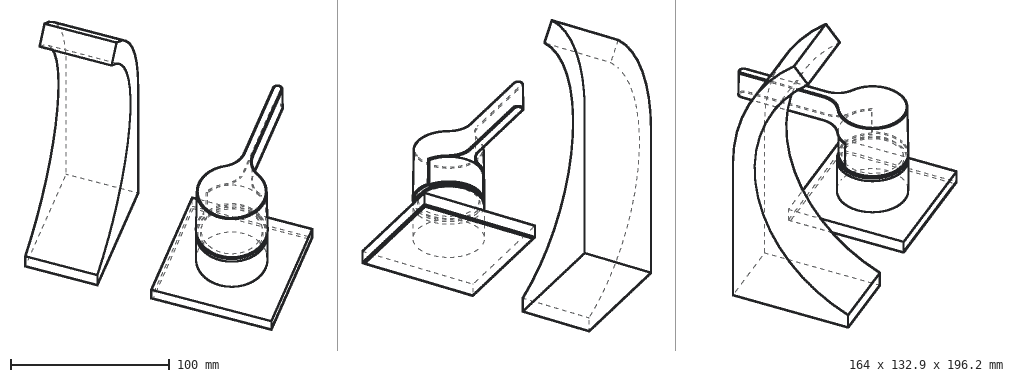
import cadquery as cq
import math

depth = 80.0
half_depth = depth / 2

spout_width = 48.0
spout_gap = 36.0
spout_height = 196.2
spout_thickness = 15.1
spout_inner_radius = 102.8
arc_centre_z = 105.5

plate_thickness = 9.5
plate_chamfer = 1.0

base_radius = 22.5
base_top = 35.3
base_chamfer = 1.2

neck_top_radius = 19.2
neck_bottom_radius = 19.8
head_bottom = 37.9
head_top = 76.0
head_radius = 22.8
handle_chamfer = 0.5
draft_angle = 1.0
lever_tip_y = 93.2
lever_half_width = 3.7
blend_radius = 15.1

lever_bottom = 56.7
undercut_start_y = 9.6
undercut_radius = 21.5


def make_spout():
    outer_radius = spout_inner_radius + spout_thickness
    centre_y = half_depth - outer_radius
    tip_angle = math.asin((spout_height - arc_centre_z) / outer_radius)
    foot_angle = -math.acos((-half_depth - centre_y) / spout_inner_radius)

    def on_arc(radius, angle):
        return (centre_y + radius * math.cos(angle), arc_centre_z + radius * math.sin(angle))

    return (
        cq.Workplane("YZ", origin=(-half_depth - spout_gap - spout_width, 0, 0))
        .moveTo(-half_depth, 0)
        .lineTo(half_depth, 0)
        .lineTo(half_depth, arc_centre_z)
        .threePointArc(on_arc(outer_radius, tip_angle / 2), on_arc(outer_radius, tip_angle))
        .lineTo(*on_arc(spout_inner_radius, tip_angle))
        .threePointArc(on_arc(spout_inner_radius, 0), on_arc(spout_inner_radius, foot_angle))
        .close()
        .extrude(spout_width)
    )


def make_plate():
    plate = cq.Workplane("XY").box(depth, depth, plate_thickness, centered=(True, True, False))
    return plate.faces("<Z").edges().chamfer(plate_chamfer)


def make_base():
    base = cq.Workplane("XY", origin=(0, 0, plate_thickness)).circle(base_radius)
    return base.extrude(base_top - plate_thickness).faces(">Z").edges().chamfer(base_chamfer)


def handle_outline():
    """Teardrop outline: round head, two concave blends and a round-ended lever."""
    blend_x = lever_half_width + blend_radius
    blend_y = math.sqrt((head_radius + blend_radius) ** 2 - blend_x ** 2)
    head_share = head_radius / (head_radius + blend_radius)
    join = (blend_x * head_share, blend_y * head_share)
    mid_angle = (math.atan2(-blend_y, -blend_x) - math.pi) / 2
    blend_mid = (
        blend_x + blend_radius * math.cos(mid_angle),
        blend_y + blend_radius * math.sin(mid_angle),
    )
    tip_start_y = lever_tip_y - lever_half_width
    return (
        cq.Workplane("XY", origin=(0, 0, head_bottom))
        .moveTo(*join)
        .threePointArc(blend_mid, (lever_half_width, blend_y))
        .lineTo(lever_half_width, tip_start_y)
        .threePointArc((0, lever_tip_y), (-lever_half_width, tip_start_y))
        .lineTo(-lever_half_width, blend_y)
        .threePointArc((-blend_mid[0], blend_mid[1]), (-join[0], join[1]))
        .threePointArc((0, -head_radius), join)
        .close()
    )


def make_undercut():
    """Space under the lever, wrapped around an upright cylinder."""
    length = lever_tip_y
    height = lever_bottom - head_bottom
    block = cq.Workplane("XY", origin=(0, undercut_start_y, head_bottom)).box(
        depth, length, height, centered=(True, False, False)
    )
    return block.cut(cq.Workplane("XY", origin=(0, 0, head_bottom)).circle(undercut_radius).extrude(height))


def is_lever_rim(edge):
    """True for the outer edges of the lever's underside, not for its inner arc or its end steps."""
    inner_arc = edge.geomType() == "CIRCLE" and math.isclose(edge.radius(), undercut_radius, abs_tol=0.0002)
    end_step = math.isclose(edge.Center().y, undercut_start_y, abs_tol=0.0002)
    return not (inner_arc or end_step)


def make_neck():
    neck = cq.Workplane("XY", origin=(0, 0, base_top)).circle(neck_bottom_radius)
    return neck.workplane(offset=head_bottom - base_top).circle(neck_top_radius).loft(ruled=True)


def make_handle():
    body = handle_outline().extrude(head_top - head_bottom, taper=draft_angle)
    body = body.cut(make_undercut())
    body = body.faces(">Z or <Z").edges().chamfer(handle_chamfer)
    underside = cq.Workplane("XY").add(body.faces("<Z[1]").val())
    rim = [edge for edge in underside.edges().vals() if is_lever_rim(edge)]
    body = body.newObject(rim).chamfer(handle_chamfer)
    return body.union(make_neck())


spout = make_spout()
plate = make_plate()
base = make_base()
handle = make_handle()

result = cq.Compound.makeCompound([spout.val(), plate.val(), base.val(), handle.val()])